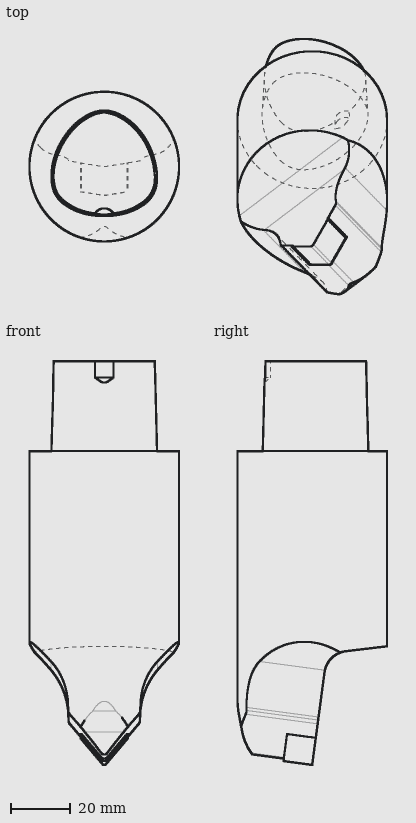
import cadquery as cq
import math

body_radius = 25.0
total_length = 134.66
shank_length = 30.0
tip_z = shank_length - total_length

shank_width_base = 35.3
shank_taper = 1 / 20
shank_width_top = shank_width_base - shank_length * shank_taper
lobe_count = 3
lobe_height = 1.1
lobe_samples = 12

notch_radius = 3.5
notch_axis_y = -17.4
notch_depth = 5.4
notch_cone_height = 3.0

blade_tilt = 7.6
point_half_angle = 40.0
blade_half_width = 12.0
body_point_offset = 0.5
body_nose_radius = 1.3
body_corner_radius = 2.0
flank_top = 16.15
flank_arc_radius = 24.5
flank_slope_angle = 40.0
flank_reach = 30.0

insert_half_width = 8.0
insert_depth = 9.7
insert_nose_radius = 0.7

gash_edge_z = -65.1
gash_slope = 6.8
gash_corner_radius = 8.0

heel_start = (0.0, -83.4)
heel_break = (0.3, -86.7)
heel_arc_start = (1.6, -93.6)
heel_arc_radius = 18.0
heel_arc_end = (5.3, -101.5)

margin = 10.0


def tan(angle):
    return math.tan(math.radians(angle))


insert_apex_z = insert_nose_radius * (1 - 1 / math.sin(math.radians(point_half_angle)))
body_apex_z = insert_apex_z + body_point_offset


def tilt_to_blade(shape):
    """Place a shape drawn about the point: tilt it about X and move it down to the tip."""
    return shape.rotate((0, 0, 0), (1, 0, 0), -blade_tilt).translate((0, 0, tip_z))


def lobed_point(width, angle):
    """Point of a constant-width three-lobed curve with one lobe toward +Y."""
    phase = lobe_count * (angle - math.pi / 2)
    support = width / 2 + lobe_height * math.cos(phase)
    slope = -lobe_count * lobe_height * math.sin(phase)
    x = support * math.cos(angle) - slope * math.sin(angle)
    y = support * math.sin(angle) + slope * math.cos(angle)
    return (x, y)


def lobed_outline(width):
    angles = [2 * math.pi * i / lobe_samples for i in range(lobe_samples)]
    return [lobed_point(width, angle) for angle in angles]


def make_shank():
    """Tapered shank of constant width at every level."""
    return (
        cq.Workplane("XY")
        .spline(lobed_outline(shank_width_base), periodic=True)
        .close()
        .workplane(offset=shank_length)
        .spline(lobed_outline(shank_width_top), periodic=True)
        .close()
        .loft(ruled=True)
    )


def make_notch():
    """Round groove along the shank with a conical end."""
    floor_z = shank_length - notch_depth
    return (
        cq.Workplane("XZ")
        .moveTo(0, shank_length + margin)
        .lineTo(notch_radius, shank_length + margin)
        .lineTo(notch_radius, floor_z)
        .lineTo(0, floor_z - notch_cone_height)
        .close()
        .revolve(360, (0, 0, 0), (0, 1, 0))
        .translate((0, notch_axis_y, 0))
    )


def make_flank_envelope():
    """Prism whose outline is the pointed, waisted silhouette of the blade."""
    point_side_z = body_apex_z + blade_half_width / tan(point_half_angle)
    angle = math.radians(flank_slope_angle)
    arc_end_x = blade_half_width + flank_arc_radius * (1 - math.cos(angle))
    arc_end_z = flank_top + flank_arc_radius * math.sin(angle)
    mid_x = blade_half_width + flank_arc_radius * (1 - math.cos(angle / 2))
    mid_z = flank_top + flank_arc_radius * math.sin(angle / 2)
    outer_z = arc_end_z + (flank_reach - arc_end_x) / tan(flank_slope_angle)
    top_z = total_length
    half = (
        cq.Workplane("XZ")
        .moveTo(0, body_apex_z)
        .lineTo(blade_half_width, point_side_z)
        .lineTo(blade_half_width, flank_top)
        .threePointArc((mid_x, mid_z), (arc_end_x, arc_end_z))
        .lineTo(flank_reach, outer_z)
        .lineTo(flank_reach, top_z)
        .lineTo(0, top_z)
        .close()
        .extrude(total_length, both=True)
    )
    corner_edge = cq.selectors.NearestToPointSelector((blade_half_width, 0, point_side_z))
    half = half.edges(corner_edge).fillet(body_corner_radius)
    prism = half.union(half.mirror("YZ"))
    nose_edge = cq.selectors.NearestToPointSelector((0, 0, body_apex_z))
    return tilt_to_blade(prism.edges(nose_edge).fillet(body_nose_radius))


def make_insert():
    """Pointed insert standing slightly proud of the blade."""
    side_z = insert_apex_z + insert_half_width / tan(point_half_angle)
    insert = (
        cq.Workplane("XZ")
        .moveTo(0, insert_apex_z)
        .lineTo(insert_half_width, side_z)
        .lineTo(-insert_half_width, side_z)
        .close()
        .extrude(insert_depth)
        .edges("|Y and <Z")
        .fillet(insert_nose_radius)
    )
    return tilt_to_blade(insert)


def make_gash():
    """Everything in front of the rake face and below the sloping shoulder."""
    far_y = body_radius + margin
    low_z = tip_z - margin
    far_z = gash_edge_z + margin * tan(gash_slope)
    rake_y_at_base = -tip_z * tan(blade_tilt)
    shoulder_z_there = gash_edge_z + (rake_y_at_base - body_radius) * tan(gash_slope)
    corner_z = shoulder_z_there / (1 - tan(blade_tilt) * tan(gash_slope))
    corner_y = (corner_z - tip_z) * tan(blade_tilt)
    low_y = (low_z - tip_z) * tan(blade_tilt)
    return (
        cq.Workplane("YZ")
        .moveTo(low_y, low_z)
        .lineTo(corner_y, corner_z)
        .lineTo(far_y, far_z)
        .lineTo(far_y, low_z)
        .close()
        .extrude(body_radius + margin, both=True)
        .edges(cq.selectors.NearestToPointSelector((0, corner_y, corner_z)))
        .fillet(gash_corner_radius)
    )


def make_heel_relief():
    """Cut that eases the back of the point toward the tip."""
    profile = (heel_start, heel_break, heel_arc_start, heel_arc_end)
    start, bend, arc_start, arc_end = [(depth - body_radius, z) for depth, z in profile]
    low_z = tip_z - margin
    back_y = -body_radius - margin
    return (
        cq.Workplane("YZ")
        .moveTo(*start)
        .lineTo(*bend)
        .lineTo(*arc_start)
        .radiusArc(arc_end, -heel_arc_radius)
        .lineTo(arc_end[0], low_z)
        .lineTo(back_y, low_z)
        .lineTo(back_y, start[1])
        .close()
        .extrude(body_radius + margin, both=True)
    )


body = cq.Workplane("XY").circle(body_radius).extrude(tip_z)
blade = body.intersect(make_flank_envelope()).cut(make_heel_relief())
blade = blade.union(make_insert()).cut(make_gash())
result = blade.union(make_shank().cut(make_notch()))